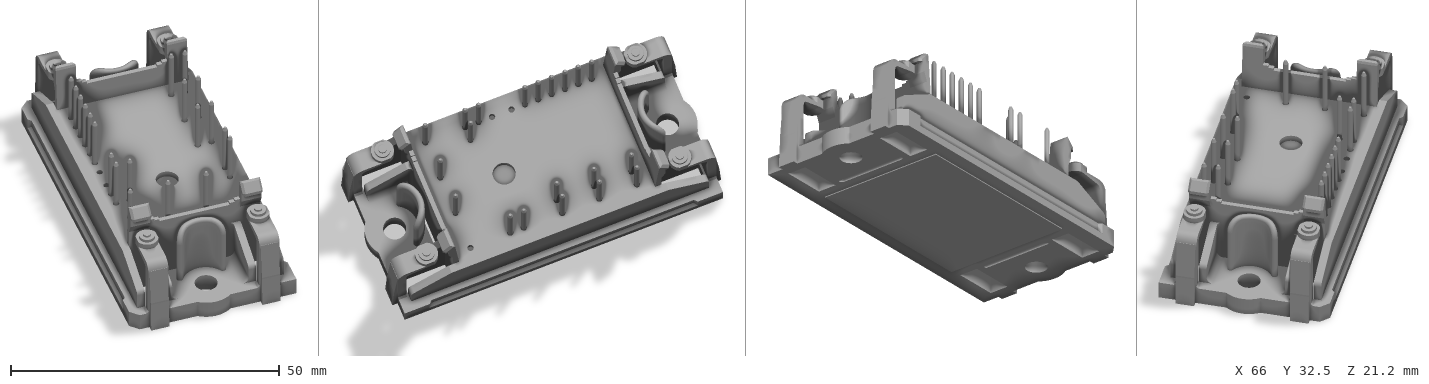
import cadquery as cq
import math

plate_half_x = 31.95
plate_half_y = 16.25
plate_top = 3.5
corner_chamfer = 1.6
pad_half_x = 18.7
pad_half_y = 13.25
pad_thickness = 0.2

screw_x = 27.4
screw_hole_diameter = 4.3
lug_radius = 5.6

recess_half_x = 26.9
recess_floor = 1.4
recess_depth = 0.6

body_top = 10.9
body_half_x = 20.9
body_half_y = 14.45
rib_outer_x = 29.9
rib_slope_start_x = 21.8
rib_end_height = 7.25
rib_corner_radius = 1.0
rib_inner_y = 7.5
rib_foot_radius = 1.2
slot_corner_radius = 0.65

lane_y = 10.95
lane_width = 3.95
lane_inner_y = lane_y - lane_width / 2
lane_outer_y = lane_y + lane_width / 2

arm_top = 15.25
arm_outer_x = plate_half_x
arm_inner_x = 30.3
arm_bend_radius = 2.0
arm_inner_radius = 1.0
arm_tip_bottom = 14.65
arm_inner_bend_z = 13.9
arm_foot_chamfer = 0.4
wedge_width = 3.55
wedge_bottom_x = 33.0
wedge_break_x = 32.7
wedge_break_bottom_z = 6.1
wedge_break_top_z = 6.4
wedge_top_z = 13.7

boss_x = 25.4
boss_diameter = 4.3
boss_top = 16.4
disc_diameter = 3.0
disc_top = 16.95
cap_diameter = 1.5
cap_top = 17.35

wall_foot_x = 19.7
hook_back_x = 20.45
hook_back_z = 19.9
hook_top = 20.4
hook_top_inner_x = 20.65
hook_top_outer_x = 21.3
barb_tip_x = 22.8
barb_tip_top = 18.9
barb_bottom = 18.2
barb_root_x = 22.1
stem_outer_x = 21.7
stem_top = 18.5
stem_bottom = 16.3
stem_bend_bottom = 14.45
hook_chamfer = 0.45
wall_top = 15.45
wall_steps = [(6.9, 15.9), (7.9, stem_bottom)]

shield_inner_radius = 4.4
shield_outer_radius = lug_radius
shield_half_angle = 64
shield_top = 15.25
shield_corner_radius = 2.9
shield_edge_radius = 0.56

pin_diameter = 1.0
pin_tip_height = 0.65
pin_top = hook_top + pin_tip_height
pin_tip_inset = 0.25
socket_diameter = 1.2
socket_depth = 1.0
dimple_x = 5.4
dimple_diameter = 4.3
dimple_depth = 1.2

pin_row_y = 11.2
inner_row_y = 8.5
end_pin_y = 3.75
end_column_x = 16.7
paired_columns_x = [-16.7, -9.2, -1.7]
near_columns_x = [-16.7, -14.0, -11.35, -8.65, -5.95, -3.3]
right_column_x = 8.7
right_near_x = 6.0

pin_places = [(x, y) for x in paired_columns_x for y in (pin_row_y, inner_row_y)]
pin_places += [(x, -pin_row_y) for x in near_columns_x]
pin_places += [(x, y) for x in (right_near_x, right_column_x) for y in (pin_row_y, -pin_row_y)]
pin_places += [(right_column_x, -inner_row_y)]
pin_places += [(end_column_x, y) for y in (end_pin_y, -end_pin_y, -pin_row_y)]
empty_sockets = [(end_column_x, pin_row_y), (-0.6, -pin_row_y), (3.3, -pin_row_y)]


def block(x_range, y_range, z_range):
    """Box spanning the given (low, high) ranges."""
    sizes = [high - low for low, high in (x_range, y_range, z_range)]
    corner = (x_range[0], y_range[0], z_range[0])
    return cq.Workplane("XY").box(*sizes, centered=False).translate(corner)


def cylinder(x, y, diameter, z_low, z_high):
    """Upright cylinder."""
    return cq.Workplane("XY", origin=(x, y, z_low)).circle(diameter / 2).extrude(z_high - z_low)


def extrude_along_y(profile, y_low, y_high):
    """Extrude an XZ profile between two Y positions."""
    return profile.extrude(y_low - y_high).translate((0, y_low, 0))


def on_both_sides(shape):
    """Shape together with its mirror image across the XZ plane."""
    return shape.union(shape.mirror("XZ"))


def make_plate():
    plate = block((-plate_half_x, plate_half_x), (-plate_half_y, plate_half_y), (0, plate_top))
    plate = plate.edges("|Z and <Y").chamfer(corner_chamfer)
    for side in (-1, 1):
        plate = plate.union(cylinder(side * screw_x, 0, 2 * lug_radius, 0, plate_top))
    pad = block((-pad_half_x, pad_half_x), (-pad_half_y, pad_half_y), (-pad_thickness, 0))
    return plate.union(pad)


def make_side_recess():
    """Cutter open at the plate's top, with walls sloping inward at 45 degrees."""
    height = plate_top - recess_floor
    inner_half_x = recess_half_x - recess_depth
    inner_height = height - recess_depth
    return (
        cq.Workplane("XZ", origin=(0, -plate_half_y, plate_top))
        .rect(2 * recess_half_x, 2 * height)
        .workplane(offset=-recess_depth)
        .rect(2 * inner_half_x, 2 * inner_height)
        .loft()
    )


def make_body():
    """Solid body with sloping ends, later opened between the ribs."""
    profile = (
        cq.Workplane("XZ")
        .moveTo(-rib_outer_x, 0)
        .lineTo(-rib_outer_x, rib_end_height)
        .lineTo(-rib_slope_start_x, body_top)
        .lineTo(rib_slope_start_x, body_top)
        .lineTo(rib_outer_x, rib_end_height)
        .lineTo(rib_outer_x, 0)
        .close()
    )
    body = extrude_along_y(profile, -body_half_y, body_half_y)
    end_edges = body.edges("|Y and (>X or <X)").edges(">Z")
    return end_edges.fillet(rib_corner_radius)


def make_end_bay():
    """Space above the plate between the two ribs of the +X end."""
    bay = block((rib_slope_start_x, plate_half_x), (-rib_inner_y, rib_inner_y), (plate_top, body_top))
    return bay.edges("|X and <Z").fillet(rib_foot_radius)


def make_end_slots():
    """Openings through the +X end of the plate: one slot and two lane pockets."""
    slot = block((body_half_x, rib_slope_start_x), (-rib_inner_y, rib_inner_y), (0, body_top))
    slot = slot.edges("|Z and <X").fillet(slot_corner_radius)
    pocket = block((body_half_x, rib_outer_x), (lane_inner_y, lane_outer_y), (0, body_top))
    return slot.union(on_both_sides(pocket))


def make_arm():
    profile = (
        cq.Workplane("XZ")
        .moveTo(arm_outer_x, 0)
        .lineTo(arm_outer_x, arm_top)
        .lineTo(boss_x, arm_top)
        .lineTo(boss_x, arm_tip_bottom)
        .lineTo(arm_inner_x, arm_inner_bend_z)
        .lineTo(arm_inner_x, 0)
        .close()
    )
    arm = extrude_along_y(profile, lane_inner_y, lane_outer_y)
    arm = arm.edges("|Y and >X and >Z").fillet(arm_bend_radius)
    inner_bend = cq.selectors.NearestToPointSelector((arm_inner_x, lane_y, arm_inner_bend_z))
    arm = arm.edges("|Y").edges(inner_bend).fillet(arm_inner_radius)

    boss = cylinder(boss_x, lane_y, boss_diameter, arm_tip_bottom, boss_top)
    lane = block((0, plate_half_x), (lane_inner_y, lane_outer_y), (0, boss_top))
    arm = arm.union(boss.intersect(lane))
    arm = arm.union(cylinder(boss_x, lane_y, disc_diameter, boss_top, disc_top))
    return arm.union(cylinder(boss_x, lane_y, cap_diameter, disc_top, cap_top))


def make_arm_foot():
    """Outer stiffening wedge and the small flared foot on the plate."""
    wedge_profile = (
        cq.Workplane("XZ")
        .moveTo(arm_inner_x, 0)
        .lineTo(wedge_bottom_x, 0)
        .lineTo(wedge_break_x, wedge_break_bottom_z)
        .lineTo(wedge_break_x, wedge_break_top_z)
        .lineTo(arm_outer_x, wedge_top_z)
        .lineTo(arm_inner_x, wedge_top_z)
        .close()
    )
    wedge = extrude_along_y(wedge_profile, lane_y - wedge_width / 2, lane_y + wedge_width / 2)
    flare = block(
        (arm_inner_x, arm_outer_x),
        (lane_inner_y - arm_foot_chamfer, lane_outer_y + arm_foot_chamfer),
        (0, plate_top + arm_foot_chamfer),
    )
    flare = flare.edges("|X and >Z").chamfer(arm_foot_chamfer)
    return wedge.union(flare)


def make_hook():
    profile = (
        cq.Workplane("XZ")
        .moveTo(wall_foot_x, body_top)
        .lineTo(hook_back_x, hook_back_z)
        .lineTo(hook_top_inner_x, hook_top)
        .lineTo(hook_top_outer_x, hook_top)
        .lineTo(barb_tip_x, barb_tip_top)
        .lineTo(barb_tip_x, barb_bottom)
        .lineTo(barb_root_x, barb_bottom)
        .lineTo(stem_outer_x, stem_top)
        .lineTo(stem_outer_x, stem_bottom)
        .lineTo(body_half_x, stem_bend_bottom)
        .lineTo(body_half_x, body_top)
        .close()
    )
    hook = extrude_along_y(profile, lane_inner_y, lane_outer_y)
    barb_flanks = cq.selectors.BoxSelector(
        (hook_top_outer_x, lane_inner_y - 0.65, stem_top),
        (barb_tip_x + 0.65, lane_outer_y + 0.65, hook_top),
    )
    return hook.edges("#Y").edges(barb_flanks).chamfer(hook_chamfer)


def make_clip_wall():
    """Low wall joining the two hooks of the +X end, stepping up beside each hook."""
    def leaning_wall(half_y, top):
        lean = (hook_back_x - wall_foot_x) / (hook_back_z - body_top)
        profile = (
            cq.Workplane("XZ")
            .moveTo(wall_foot_x, body_top)
            .lineTo(wall_foot_x + lean * (top - body_top), top)
            .lineTo(body_half_x, top)
            .lineTo(body_half_x, body_top)
            .close()
        )
        return extrude_along_y(profile, -half_y, half_y)

    wall = leaning_wall(lane_inner_y, wall_top)
    for half_y, top in wall_steps:
        step = leaning_wall(lane_inner_y, top)
        gap = block((wall_foot_x, body_half_x), (-half_y, half_y), (body_top, top))
        wall = wall.union(step.cut(gap))
    return wall


def make_shield():
    """Curved wall with rounded upper corners, concave toward the +X screw hole."""
    def at(radius, angle):
        return (-radius * math.cos(math.radians(angle)), radius * math.sin(math.radians(angle)))

    shield = (
        cq.Workplane("XY", origin=(screw_x, 0, plate_top))
        .moveTo(*at(shield_inner_radius, -shield_half_angle))
        .threePointArc(at(shield_inner_radius, 0), at(shield_inner_radius, shield_half_angle))
        .lineTo(*at(shield_outer_radius, shield_half_angle))
        .threePointArc(at(shield_outer_radius, 0), at(shield_outer_radius, -shield_half_angle))
        .close()
        .extrude(shield_top - plate_top)
    )
    shield = shield.faces(">Z").edges("%LINE").fillet(shield_corner_radius)

    def follows_wall(edge):
        start_reach, end_reach = [
            math.hypot(point.x - screw_x, point.y) for point in (edge.startPoint(), edge.endPoint())
        ]
        return abs(start_reach - end_reach) < shield_edge_radius

    upper_edges = shield.edges("not <Z").filter(follows_wall)
    return upper_edges.fillet(shield_edge_radius)


def make_pin(x, y):
    pin = cylinder(x, y, pin_diameter, body_top - socket_depth, pin_top)
    return pin.faces(">Z").chamfer(pin_tip_height, pin_tip_inset)


def make_end_fittings():
    """Everything standing on the +X end."""
    hooks = on_both_sides(make_hook())
    arms = on_both_sides(make_arm().union(make_arm_foot()))
    return hooks.union(arms).union(make_clip_wall()).union(make_shield())


result = make_plate()
result = result.cut(on_both_sides(make_side_recess()))
result = result.union(make_body())

bay = make_end_bay()
result = result.cut(bay).cut(bay.mirror("YZ"))
slots = make_end_slots()
result = result.cut(slots).cut(slots.mirror("YZ"))
for side in (-1, 1):
    result = result.cut(cylinder(side * screw_x, 0, screw_hole_diameter, 0, plate_top))

fittings = make_end_fittings()
result = result.union(fittings).union(fittings.mirror("YZ"))

result = result.cut(cylinder(dimple_x, 0, dimple_diameter, body_top - dimple_depth, body_top))
for x, y in pin_places + empty_sockets:
    result = result.cut(cylinder(x, y, socket_diameter, body_top - socket_depth, body_top))
for x, y in pin_places:
    result = result.union(make_pin(x, y))